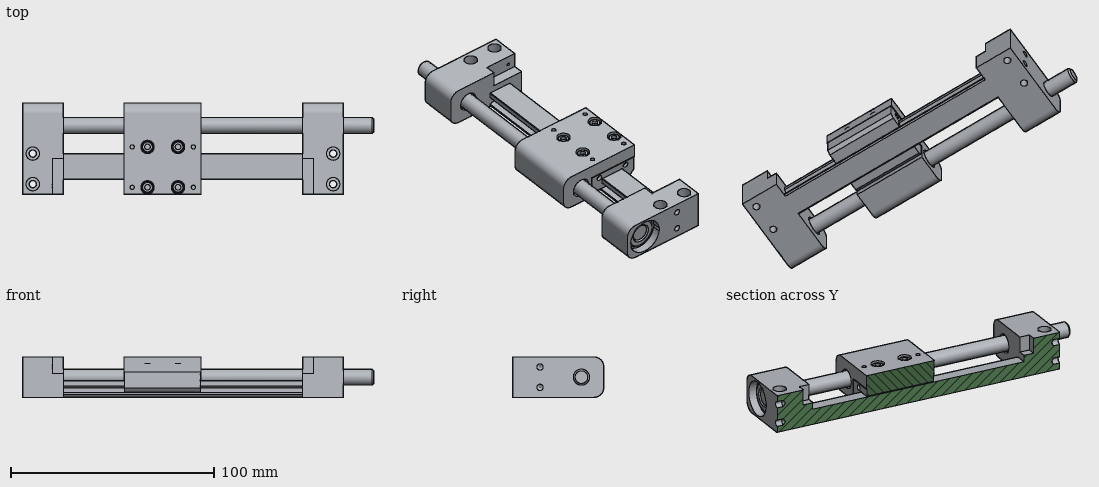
import cadquery as cq

full_chamfer_ratio = 0.99

depth = 45.0
height = 20.0
back_fillet = 5.0

frame_length = 158.0
block_width = 20.0

screw_radius = 4.0
screw_y = 33.9
screw_z = height / 2
screw_end = 173.0
screw_chamfer = 0.9
screw_clearance = 0.9
relief_depth = 1.7

seat_radius = 9.0
seat_depth = 4.3
seat_notch_radius = 1.2
seat_notch_depth = 0.3
bearing_radius = 8.1
bearing_chamfer = 1.0
bore_radius = 4.2
bore_chamfer = 0.7

mount_inset = 5.0
mount_pitch = 15.0
mount_hole_radius = 1.7
mount_head_radius = 3.3
mount_head_depth = 6.0

step_width = 5.4
step_depth = 17.6
step_floor = 12.0
stop_hole_y = 4.2
stop_hole_z = 15.2
stop_hole_radius = 0.7
stop_hole_depth = 3.5

end_hole_y = 13.5
end_hole_pitch = 10.0
end_hole_radius = 1.5
end_hole_depth = 3.5
end_hole_tip = 1.0

rail_y = 13.7
rail_half_width = 6.4
rail_waist_half_width = 3.8
rail_top = 8.5
rail_chamfer = 0.26
head_side_bottom = 5.7
head_bottom = 4.7
foot_inner_top = 2.5
foot_outer_top = 1.5
foot_side_bottom = 0.7
foot_bottom_inset = 0.7

carriage_start = 49.8
carriage_length = 38.0
carriage_end = carriage_start + carriage_length
carriage_bottom = 1.0
runner_half_width = 13.5
runner_top = 12.6
runner_bottom = 2.8
runner_chamfer = 1.9
runner_end_inset = 0.3
rail_clearance = 0.2
runner_hole_offset = 8.3
runner_hole_z = 10.0
runner_hole_radius = 1.4
runner_hole_depth = 1.7

table_centre_x = 69.0
table_row_y = 3.5
table_row_pitch = 19.9
table_bore_pitch = 15.0
table_bore_radius = 3.3
table_bore_depth = 3.3
screw_head_radius = 2.8
screw_head_recess = 0.7
screw_head_chamfer = 0.3
screw_socket_radius = 1.4
screw_socket_depth = 1.7
table_pin_pitch = 30.1
table_pin_radius = 1.0
table_pin_depth = 3.5


def box(x0, x1, y0, y1, z0, z1):
    """Box between two opposite corners."""
    return cq.Workplane("XY").box(x1 - x0, y1 - y0, z1 - z0, centered=False).translate((x0, y0, z0))


def rod_x(radius, x0, x1, y, z):
    """Cylinder along X."""
    return cq.Workplane("YZ").center(y, z).circle(radius).extrude(x1 - x0).translate((x0, 0, 0))


def hole_z(radius, x, y, z0, z1):
    """Cylinder along Z."""
    return cq.Workplane("XY").center(x, y).circle(radius).extrude(z1 - z0).translate((0, 0, z0))


def end_block():
    """End block with its outer face at x = 0 and its inner face at x = block_width."""
    block = box(0, block_width, 0, depth, 0, height).edges("|X and >Y").fillet(back_fillet)
    step_x = block_width - step_width
    block = block.cut(box(step_x, block_width, 0, step_depth, step_floor, height))
    block = block.cut(rod_x(stop_hole_radius, step_x - stop_hole_depth, step_x, stop_hole_y, stop_hole_z))

    for y in (mount_inset, mount_inset + mount_pitch):
        block = block.cut(hole_z(mount_hole_radius, mount_inset, y, 0, height))
        block = block.cut(hole_z(mount_head_radius, mount_inset, y, height - mount_head_depth, height))

    for side in (-1, 1):
        z = height / 2 + side * end_hole_pitch / 2
        drill = rod_x(end_hole_radius, 0, end_hole_depth + end_hole_tip, end_hole_y, z)
        block = block.cut(drill.faces(">X").chamfer(end_hole_tip, end_hole_radius * full_chamfer_ratio))

    relief_radius = screw_radius + screw_clearance
    return block.cut(rod_x(relief_radius, block_width - relief_depth, block_width, screw_y, screw_z))


def bearing_seat():
    """Material removed from the left block: a round seat around a chamfered bearing ring."""
    seat = rod_x(seat_radius, 0, seat_depth, screw_y, screw_z)
    notch_y = screw_y - seat_radius + seat_notch_radius - seat_notch_depth
    seat = seat.union(rod_x(seat_notch_radius, 0, seat_depth, notch_y, screw_z))
    ring_face = seat_depth - bearing_chamfer
    ring = rod_x(bearing_radius, ring_face, seat_depth, screw_y, screw_z)
    ring = ring.faces("<X").chamfer(bearing_chamfer * full_chamfer_ratio)
    bore_floor = ring_face + bore_chamfer
    bore = rod_x(bore_radius + bore_chamfer, ring_face, bore_floor, screw_y, screw_z)
    bore = bore.faces(">X").chamfer(bore_chamfer * full_chamfer_ratio)
    return seat.cut(ring).union(bore)


def rail_outline():
    """Closed rail cross-section in the YZ plane."""
    right_side = [
        (rail_half_width - foot_bottom_inset, 0),
        (rail_half_width, foot_side_bottom),
        (rail_half_width, foot_outer_top),
        (rail_waist_half_width, foot_inner_top),
        (rail_waist_half_width, head_bottom),
        (rail_half_width, head_side_bottom),
        (rail_half_width, rail_top - rail_chamfer),
        (rail_half_width - rail_chamfer, rail_top),
    ]
    left_side = [(-y, z) for y, z in reversed(right_side)]
    return cq.Workplane("YZ").center(rail_y, 0).polyline(right_side + left_side).close()


def make_frame():
    """Both end blocks joined by the guide rail and the lead screw."""
    left = end_block().cut(bearing_seat())
    right = end_block().mirror("YZ").translate((frame_length, 0, 0))
    rail_length = frame_length - 2 * block_width
    rail = rail_outline().extrude(rail_length).translate((block_width, 0, 0))
    screw = rod_x(screw_radius, block_width - relief_depth, screw_end, screw_y, screw_z)
    screw = screw.faces(">X").chamfer(screw_chamfer)
    return left.union(right).union(rail).union(screw)


def runner():
    """Lower block of the carriage that wraps around the rail head."""
    x0 = carriage_start + runner_end_inset
    x1 = carriage_end - runner_end_inset
    y0 = rail_y - runner_half_width
    y1 = rail_y + runner_half_width
    block = box(x0, x1, y0, y1, runner_bottom, runner_top)
    block = block.edges("|X and <Z").chamfer(runner_chamfer)
    for side in (-1, 1):
        y = rail_y + side * runner_hole_offset
        block = block.cut(rod_x(runner_hole_radius, x0, x0 + runner_hole_depth, y, runner_hole_z))
        block = block.cut(rod_x(runner_hole_radius, x1 - runner_hole_depth, x1, y, runner_hole_z))
    return block


def table_bore(x, y):
    """Counterbore in the table top, leaving a socketed screw head standing on its floor."""
    floor = height - table_bore_depth
    head_top = height - screw_head_recess
    head = hole_z(screw_head_radius, x, y, floor, head_top).faces(">Z").chamfer(screw_head_chamfer)
    head = head.cut(hole_z(screw_socket_radius, x, y, head_top - screw_socket_depth, head_top))
    return hole_z(table_bore_radius, x, y, floor, height).cut(head)


def make_carriage():
    """Table over the rail and screw, with the runner fixed below it."""
    body = box(carriage_start, carriage_end, 0, depth, carriage_bottom, height)
    body = body.edges("|X and >Y").fillet(back_fillet)
    runner_back = rail_y + runner_half_width
    body = body.cut(box(carriage_start, carriage_end, 0, runner_back, carriage_bottom, runner_top))
    body = body.union(runner())

    channel = rail_outline().offset2D(rail_clearance, "intersection").extrude(carriage_length)
    body = body.cut(channel.translate((carriage_start, 0, 0)))
    body = body.cut(rod_x(screw_radius + screw_clearance, carriage_start, carriage_end, screw_y, screw_z))

    for y in (table_row_y, table_row_y + table_row_pitch):
        for side in (-1, 1):
            bore_x = table_centre_x + side * table_bore_pitch / 2
            body = body.cut(table_bore(bore_x, y))
            pin_x = table_centre_x + side * table_pin_pitch / 2
            body = body.cut(hole_z(table_pin_radius, pin_x, y, height - table_pin_depth, height))
    return body


frame = make_frame()
carriage = make_carriage()
result = cq.Compound.makeCompound([frame.val(), carriage.val()])